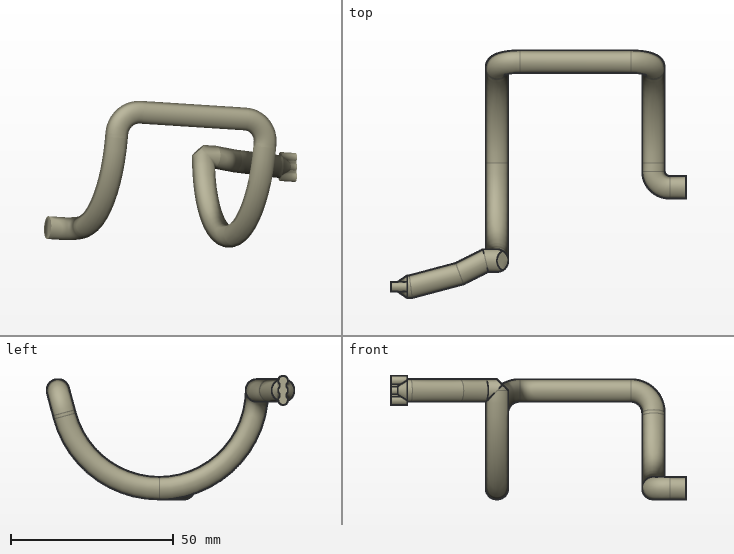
import cadquery as cq
import math

bar_radius = 3.5
hoop_radius = 30.0
leg_spacing = 48.0
leg_tilt = math.radians(15.0)
top_bend_radius = 7.0
foot_bend_radius = 5.0
foot_straight = 2.5
foot_length = 5.0

arm_y = -hoop_radius
arm_sidestep = 4.0
arm_corners = [
    (0.0, arm_y),
    (-3.5, arm_y),
    (-11.5, arm_y - arm_sidestep),
    (-26.5, arm_y - 2 * arm_sidestep),
]
arm_end_length = 1.0

tip_length = 5.0
tip_lobe_radius = 1.5
tip_lobe_pitch = 3.0
tip_web_thickness = 2.0
cone_length = 3.0


def frame_bar():
    """Both curved legs, the top crossbar and the foot as one swept bar."""
    crossbar_y = hoop_radius / math.cos(leg_tilt)

    front_mid_angle = -3 * math.pi / 4
    rear_mid_angle = -(math.pi / 2 + leg_tilt) / 2

    bend_mid_offset = 1 - math.cos(math.pi / 4)

    def on_leg(x, distance):
        """Point on the straight leg top, at a distance below the crossbar axis."""
        return cq.Vector(
            x,
            crossbar_y - distance * math.sin(leg_tilt),
            -distance * math.cos(leg_tilt),
        )

    def on_hoop(x, angle):
        """Point on the curved leg's centreline."""
        return cq.Vector(x, hoop_radius * math.cos(angle), hoop_radius * math.sin(angle))

    bend = top_bend_radius
    bend_mid = bend * bend_mid_offset
    right = leg_spacing
    foot_bend_y = -foot_straight
    foot_y = foot_bend_y - foot_bend_radius
    foot_x = right + foot_bend_radius
    foot_mid = foot_bend_radius * bend_mid_offset

    hoop_start = cq.Vector(0, -hoop_radius, 0)
    hoop_bottom = cq.Vector(0, 0, -hoop_radius)
    left_arc_end = on_hoop(0, -leg_tilt)
    right_arc_end = on_hoop(right, -leg_tilt)
    right_bottom = cq.Vector(right, 0, -hoop_radius)
    foot_bend_start = cq.Vector(right, foot_bend_y, -hoop_radius)
    foot_bend_middle = cq.Vector(right + foot_mid, foot_y + foot_mid, -hoop_radius)
    foot_bend_end = cq.Vector(foot_x, foot_y, -hoop_radius)
    foot_end = cq.Vector(foot_x + foot_length, foot_y, -hoop_radius)

    line = cq.Edge.makeLine
    arc = cq.Edge.makeThreePointArc
    path = cq.Wire.assembleEdges([
        arc(hoop_start, on_hoop(0, front_mid_angle), hoop_bottom),
        arc(hoop_bottom, on_hoop(0, rear_mid_angle), left_arc_end),
        line(left_arc_end, on_leg(0, bend)),
        arc(on_leg(0, bend), on_leg(bend_mid, bend_mid), on_leg(bend, 0)),
        line(on_leg(bend, 0), on_leg(right - bend, 0)),
        arc(on_leg(right - bend, 0), on_leg(right - bend_mid, bend_mid), on_leg(right, bend)),
        line(on_leg(right, bend), right_arc_end),
        arc(right_arc_end, on_hoop(right, rear_mid_angle), right_bottom),
        line(right_bottom, foot_bend_start),
        arc(foot_bend_start, foot_bend_middle, foot_bend_end),
        line(foot_bend_end, foot_end),
    ])
    section = cq.Workplane("XY", origin=hoop_start.toTuple()).circle(bar_radius)
    return section.sweep(cq.Workplane(path))


def arm_bar():
    """Mitred arm from the left leg out to the base of the tip."""
    last_x, last_y = arm_corners[-1]
    path = cq.Workplane("XY").polyline(arm_corners + [(last_x - arm_end_length, last_y)])
    section = cq.Workplane("YZ", origin=(0, arm_y, 0)).circle(bar_radius)
    return section.sweep(path, transition="right")


def arm_corner():
    """Outer corner where leg and arm meet, with its point cut off at 45 degrees."""
    leg_stub = cq.Workplane("XY", origin=(0, arm_y, 0)).circle(bar_radius).extrude(bar_radius)
    arm_stub = cq.Workplane("YZ", origin=(0, arm_y, 0)).circle(bar_radius).extrude(bar_radius)
    kept_side = (
        cq.Workplane("XZ", origin=(0, arm_y, 0))
        .polyline([(0, 0), (bar_radius, 0), (0, bar_radius)])
        .close()
        .extrude(bar_radius, both=True)
    )
    return leg_stub.intersect(arm_stub).intersect(kept_side)


def arm_tip():
    """Cone narrowing from the bar, with three lobes joined by a web."""
    last_x, tip_y = arm_corners[-1]
    base_x = last_x - arm_end_length
    cone = cq.Workplane(cq.Solid.makeCone(
        bar_radius,
        tip_lobe_radius,
        cone_length,
        cq.Vector(base_x, tip_y, 0),
        cq.Vector(-1, 0, 0),
    ))
    base = cq.Workplane("YZ", origin=(base_x, tip_y, 0))
    tip = base.rect(tip_web_thickness, 2 * tip_lobe_pitch).extrude(-tip_length)
    for lobe_z in (-tip_lobe_pitch, 0, tip_lobe_pitch):
        tip = tip.union(base.center(0, lobe_z).circle(tip_lobe_radius).extrude(-tip_length))
    return tip.union(cone)


result = frame_bar().union(arm_bar()).union(arm_corner()).union(arm_tip())